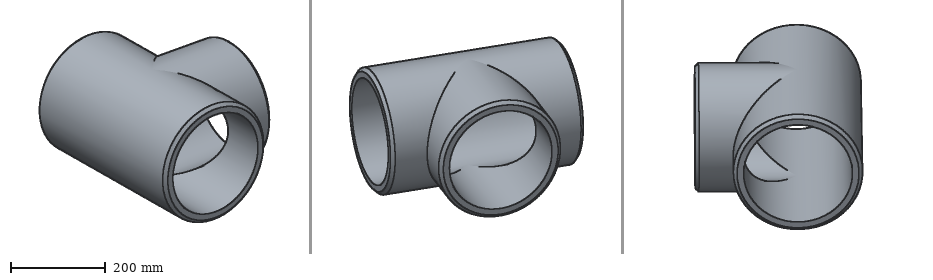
import cadquery as cq

run_length = 432.0
outer_diameter = 273.0
bore_diameter = 229.7
end_chamfer = 7.8

half_length = run_length / 2


def run_cylinder(diameter):
    """Full-length cylinder along X, centred on the origin."""
    return cq.Workplane("YZ").circle(diameter / 2).extrude(half_length, both=True)


def branch_cylinder(diameter):
    """Cylinder from the run axis to the branch mouth at +Y."""
    return cq.Workplane("XZ").circle(diameter / 2).extrude(-half_length)


outer_run = run_cylinder(outer_diameter).faces("<X or >X").edges().chamfer(end_chamfer)
outer_branch = branch_cylinder(outer_diameter).faces(">Y").edges().chamfer(end_chamfer)
body = outer_run.union(outer_branch)

result = body.cut(run_cylinder(bore_diameter)).cut(branch_cylinder(bore_diameter))